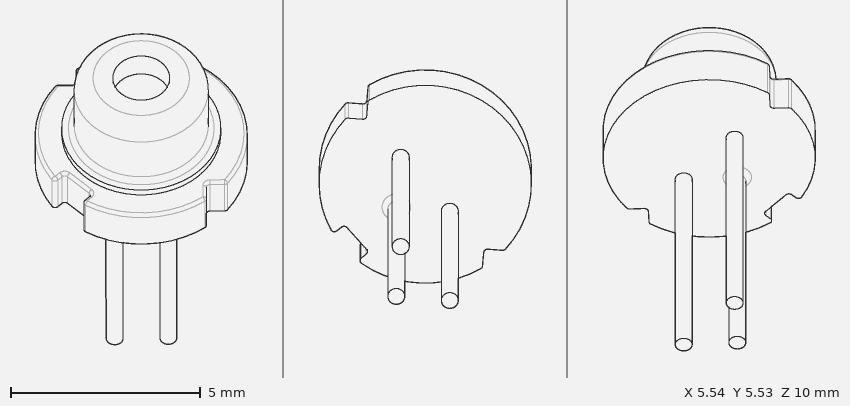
import cadquery as cq

flange_radius = 2.8
flange_height = 1.2
flange_top_fillet = 0.09
notch_corner_fillet = 0.1

slot_width = 1.0
slot_floor_distance = 2.37
v_apex_distance = 2.4

ring_radius = 2.1
ring_height = 0.2
cap_radius = 1.77
cap_height = 2.1
cap_top_fillet = 0.5
cap_base_fillet = 0.15
window_radius = 0.75
window_depth = 0.75

pin_diameter = 0.45
pin_radius = pin_diameter / 2
pin_length = 6.5
pin_offset = 1.0
weld_fillet = 0.15

ring_top = flange_height + ring_height
cap_top = ring_top + cap_height


def make_flange():
    """Disc with one slot and two V notches, rounded corners and a rounded top rim."""
    disc = cq.Workplane("XY").circle(flange_radius).extrude(flange_height)
    slot_depth = flange_radius - slot_floor_distance
    slot = (
        cq.Workplane("XY")
        .center(0, -slot_floor_distance - slot_depth)
        .rect(slot_width, 2 * slot_depth)
        .extrude(flange_height)
    )
    disc = disc.cut(slot)
    v_reach = flange_radius - v_apex_distance
    for side in (-1, 1):
        notch = (
            cq.Workplane("XY")
            .moveTo(side * v_apex_distance, 0)
            .lineTo(side * flange_radius, v_reach)
            .lineTo(side * flange_radius, -v_reach)
            .close()
            .extrude(flange_height)
        )
        disc = disc.cut(notch)
    disc = disc.edges("|Z").fillet(notch_corner_fillet)
    return disc.faces(">Z").edges().fillet(flange_top_fillet)


def make_cap():
    """Ring and domed-edge cylinder with a blind round window, revolved about Z."""
    top_flat_radius = cap_radius - cap_top_fillet
    window_floor = cap_top - window_depth
    profile = (
        cq.Workplane("XZ")
        .moveTo(0, flange_height)
        .lineTo(ring_radius, flange_height)
        .lineTo(ring_radius, ring_top)
        .lineTo(cap_radius + cap_base_fillet, ring_top)
        .radiusArc((cap_radius, ring_top + cap_base_fillet), cap_base_fillet)
        .lineTo(cap_radius, cap_top - cap_top_fillet)
        .radiusArc((top_flat_radius, cap_top), -cap_top_fillet)
        .lineTo(window_radius, cap_top)
        .lineTo(window_radius, window_floor)
        .lineTo(0, window_floor)
        .close()
    )
    return profile.revolve(360, (0, 0, 0), (0, 1, 0))


def make_pin(x, y):
    """Straight round lead hanging from the flange underside."""
    return cq.Workplane("XY").center(x, y).circle(pin_radius).extrude(-pin_length)


def make_welded_pin(x, y):
    """Lead with a concave weld fillet where it meets the flange."""
    profile = (
        cq.Workplane("XZ")
        .lineTo(pin_radius + weld_fillet, 0)
        .radiusArc((pin_radius, -weld_fillet), -weld_fillet)
        .lineTo(pin_radius, -pin_length)
        .lineTo(0, -pin_length)
        .close()
    )
    return profile.revolve(360, (0, 0, 0), (0, 1, 0)).translate((x, y, 0))


result = make_flange().union(make_cap())
for pin_x in (-pin_offset, pin_offset):
    result = result.union(make_pin(pin_x, 0))
result = result.union(make_welded_pin(0, -pin_offset))